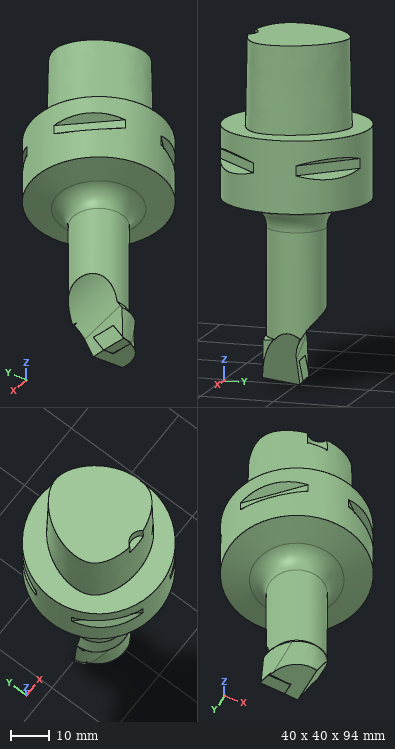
import cadquery as cq
import math


OVERALL_LENGTH = 94.0

FLANGE_DIAMETER = 40.0
FLANGE_RADIUS = FLANGE_DIAMETER / 2
FLANGE_HEIGHT = 19.6

COUPLING_HEIGHT = 23.9
COUPLING_BASE_RADIUS = 14.0
COUPLING_TOP_RADIUS = 13.5
LOBE_ECCENTRICITY = 0.89
LOBE_COUNT = 3
LOBE_CURVE_POINTS = 36

KEYWAY_RADIUS = 3.3
KEYWAY_CENTER_Y = -14.1
KEYWAY_DEPTH = 4.1

SLOT_COUNT = 4
SLOT_FIRST_ANGLE = 45
SLOT_Z = -8.0
SLOT_FLOOR_DISTANCE = 17.7
SLOT_FLOOR_HEIGHT = 2.6
SLOT_MOUTH_HEIGHT = 5.5

SHANK_DIAMETER = 16.0
SHANK_RADIUS = SHANK_DIAMETER / 2
NECK_CONE_DROP = 3.3
NECK_FILLET = 5.9
SHANK_END_Z = -56.6

HEAD_TOP_Z = -59.4
HEAD_BACK_Y = -9.4
HEAD_FRONT_Y = 2.8
HEAD_RIGHT = (7.2, -3.6)
FLARE_RADIUS = 9.8
TOP_FLANK_X = -9.6
TOP_FLANK_MIDDLE = (-8.5, -5.1)
TOP_HEEL = (-4.3, -8.9)
TOP_BACK = (-0.8, HEAD_BACK_Y)
END_FLANK_X = -10.4
END_FLANK_MIDDLE = (-9.9, -1.9)
END_HEEL = (-9.0, -3.7)
END_BACK = (-1.4, HEAD_BACK_Y)
TIP_X = -10.8
TIP_Z = COUPLING_HEIGHT - OVERALL_LENGTH
BOTTOM_CLEARANCE_ANGLE = 8
BOTTOM_RELIEF = 0.4

SLANT_ANGLE = 25
RAKE_TILT = 6
SCOOP_ANGLE = 16
SCOOP_FLAT_LENGTH = 11.75
SCOOP_RADIUS = 12.2
SLANT_CUT_X = 8.0
SLANT_CUT_Z = -54.6

INSERT_SIDE = 7.7
INSERT_CORNER_ANGLE = 55
INSERT_THICKNESS = 3.2
INSERT_RELIEF_ANGLE = 7
INSERT_EDGE_RISE = 2

TOOL_REACH = 37.6


def direction(angle):
    """Unit vector in a plane at an angle in degrees."""
    return math.cos(math.radians(angle)), math.sin(math.radians(angle))


SLANT_COS, SLANT_SIN = direction(SLANT_ANGLE)
SCOOP_COS, SCOOP_SIN = direction(SCOOP_ANGLE)
TILT_COS, TILT_SIN = direction(RAKE_TILT)
TIP = cq.Vector(TIP_X, 0, TIP_Z)
SLANT_DOWN = cq.Vector(-SLANT_SIN, 0, -SLANT_COS)
SCOOP_DOWN = cq.Vector(-SCOOP_SIN, 0, -SCOOP_COS)
ACROSS_RAKE = cq.Vector(SCOOP_COS * TILT_COS, TILT_SIN, -SCOOP_SIN * TILT_COS)
RAKE_NORMAL = ACROSS_RAKE.cross(SCOOP_DOWN)


def lobe_points(radius):
    """Constant-width curve with one lobe on +Y, from its support function."""
    points = []
    for index in range(LOBE_CURVE_POINTS):
        angle = 2 * math.pi * index / LOBE_CURVE_POINTS
        support = radius + LOBE_ECCENTRICITY * math.cos(LOBE_COUNT * angle)
        slope = -LOBE_COUNT * LOBE_ECCENTRICITY * math.sin(LOBE_COUNT * angle)
        along_y = support * math.cos(angle) - slope * math.sin(angle)
        along_x = support * math.sin(angle) + slope * math.cos(angle)
        points.append((along_x, along_y))
    return points


def make_coupling():
    body = (
        cq.Workplane("XY")
        .spline(lobe_points(COUPLING_BASE_RADIUS), periodic=True).close()
        .workplane(offset=COUPLING_HEIGHT)
        .spline(lobe_points(COUPLING_TOP_RADIUS), periodic=True).close()
        .loft(ruled=True)
    )
    keyway = (
        cq.Workplane("XY", origin=(0, KEYWAY_CENTER_Y, COUPLING_HEIGHT))
        .circle(KEYWAY_RADIUS).extrude(-KEYWAY_DEPTH)
    )
    return body.cut(keyway)


def make_flange_and_shank():
    """Turned profile; the cone runs tangentially into the shank fillet."""
    cone_run = FLANGE_RADIUS - SHANK_RADIUS
    cone_length = math.hypot(cone_run, NECK_CONE_DROP)
    cone_angle = math.atan2(NECK_CONE_DROP, cone_run)
    tangent_length = NECK_FILLET * math.tan((math.pi / 2 - cone_angle) / 2)
    corner_z = -FLANGE_HEIGHT - NECK_CONE_DROP
    fillet_start = (
        SHANK_RADIUS + tangent_length * cone_run / cone_length,
        corner_z + tangent_length * NECK_CONE_DROP / cone_length,
    )
    return (
        cq.Workplane("XZ")
        .lineTo(FLANGE_RADIUS, 0)
        .lineTo(FLANGE_RADIUS, -FLANGE_HEIGHT)
        .lineTo(*fillet_start)
        .tangentArcPoint((SHANK_RADIUS, corner_z - tangent_length), relative=False)
        .lineTo(SHANK_RADIUS, SHANK_END_Z)
        .lineTo(0, SHANK_END_Z)
        .close()
        .revolve(360, (0, 0, 0), (0, 1, 0))
    )


def make_gripper_slot(angle):
    """Slot with sloping walls, cut along a chord of the flange."""
    depth = FLANGE_RADIUS - SLOT_FLOOR_DISTANCE
    wall_slope = (SLOT_MOUTH_HEIGHT - SLOT_FLOOR_HEIGHT) / 2 / depth
    outer_half = SLOT_FLOOR_HEIGHT / 2 + 2 * depth * wall_slope
    outer_distance = SLOT_FLOOR_DISTANCE + 2 * depth
    return (
        cq.Workplane("XZ")
        .polyline([
            (SLOT_FLOOR_DISTANCE, SLOT_Z - SLOT_FLOOR_HEIGHT / 2),
            (outer_distance, SLOT_Z - outer_half),
            (outer_distance, SLOT_Z + outer_half),
            (SLOT_FLOOR_DISTANCE, SLOT_Z + SLOT_FLOOR_HEIGHT / 2),
        ])
        .close().extrude(TOOL_REACH / 2, both=True)
        .rotate((0, 0, 0), (0, 0, 1), angle)
    )


def head_section(z, front_x, flank_middle, heel, back):
    """Closed section: flank arc from the cutting edge to the heel, then an arc round the back."""
    return (
        cq.Workplane("XY", origin=(0, 0, z))
        .moveTo(front_x, HEAD_FRONT_Y)
        .lineTo(front_x, 0)
        .threePointArc(flank_middle, heel)
        .threePointArc(back, HEAD_RIGHT)
        .lineTo(HEAD_RIGHT[0], HEAD_FRONT_Y)
        .close().val()
    )


def make_head():
    """Block with a flank that leans outward, its top trimmed by a flare from the shank."""
    top = head_section(SHANK_END_Z, TOP_FLANK_X, TOP_FLANK_MIDDLE, TOP_HEEL, TOP_BACK)
    bottom = head_section(TIP_Z, END_FLANK_X, END_FLANK_MIDDLE, END_HEEL, END_BACK)
    block = cq.Workplane(cq.Solid.makeLoft([top, bottom], True))
    flare = (
        cq.Workplane("XZ")
        .moveTo(0, SHANK_END_Z)
        .lineTo(SHANK_RADIUS, SHANK_END_Z)
        .lineTo(FLARE_RADIUS, HEAD_TOP_Z)
        .lineTo(TOOL_REACH, HEAD_TOP_Z)
        .lineTo(TOOL_REACH, TIP_Z)
        .lineTo(0, TIP_Z)
        .close()
        .revolve(360, (0, 0, 0), (0, 1, 0))
    )
    return block.intersect(flare)


def make_bottom_clearance():
    """Volume below the end face, which rises from the rake face to the back."""
    return (
        cq.Workplane("XY")
        .box(TOOL_REACH, TOOL_REACH, TOOL_REACH, centered=(True, True, False))
        .translate((0, 0, -TOOL_REACH))
        .rotate((0, 0, 0), (1, 0, 0), -BOTTOM_CLEARANCE_ANGLE)
        .translate((0, 0, TIP_Z + BOTTOM_RELIEF))
    )


def make_chip_scoop():
    """Flat rake face through the tip that curves out of the shank on +Y."""
    side_plane = cq.Plane(origin=TIP, xDir=SCOOP_DOWN, normal=ACROSS_RAKE)
    runout = (-SCOOP_FLAT_LENGTH - SCOOP_RADIUS, SCOOP_RADIUS)
    arc_middle = (
        -SCOOP_FLAT_LENGTH - SCOOP_RADIUS * math.sin(math.pi / 4),
        SCOOP_RADIUS * (1 - math.cos(math.pi / 4)),
    )
    return (
        cq.Workplane(side_plane)
        .moveTo(TOOL_REACH, 0)
        .lineTo(-SCOOP_FLAT_LENGTH, 0)
        .threePointArc(arc_middle, runout)
        .lineTo(runout[0], TOOL_REACH)
        .lineTo(TOOL_REACH, TOOL_REACH)
        .close().extrude(TOOL_REACH, both=True)
    )


def make_slant_cut():
    """Volume on the +X side of the slanted face."""
    slant_normal = cq.Vector(SLANT_COS, 0, -SLANT_SIN)
    plane = cq.Plane(
        origin=(SLANT_CUT_X, 0, SLANT_CUT_Z), xDir=SLANT_DOWN, normal=slant_normal
    )
    return cq.Workplane(plane).rect(2 * TOOL_REACH, TOOL_REACH).extrude(TOOL_REACH)


def make_insert():
    """Rhombic insert, flush with the rake face and tapering away from it."""
    plane = cq.Plane(origin=TIP, xDir=ACROSS_RAKE, normal=-RAKE_NORMAL)
    lower_angle = SCOOP_ANGLE + INSERT_EDGE_RISE
    lower = [INSERT_SIDE * part for part in direction(lower_angle)]
    upper = [INSERT_SIDE * part for part in direction(lower_angle + INSERT_CORNER_ANGLE)]
    far_corner = (lower[0] + upper[0], lower[1] + upper[1])
    return (
        cq.Workplane(plane)
        .polyline([(0, 0), lower, far_corner, upper]).close()
        .extrude(INSERT_THICKNESS, taper=INSERT_RELIEF_ANGLE)
    )


def make_holder(insert):
    holder = make_flange_and_shank().union(make_coupling()).union(make_head())
    for index in range(SLOT_COUNT):
        holder = holder.cut(make_gripper_slot(SLOT_FIRST_ANGLE + index * 360 / SLOT_COUNT))
    holder = holder.cut(make_bottom_clearance())
    holder = holder.cut(make_chip_scoop())
    holder = holder.cut(make_slant_cut())
    return holder.cut(insert)


insert = make_insert()
holder = make_holder(insert)
result = cq.Compound.makeCompound([holder.val(), insert.val()])